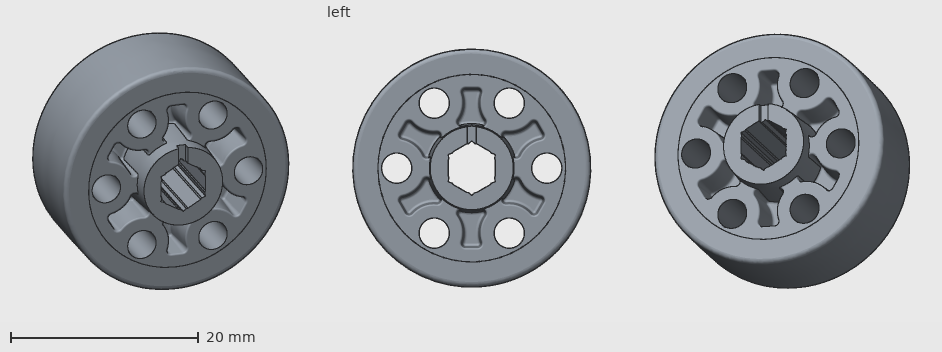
import cadquery as cq
import math

hub_length = 15.0
wheel_width = 11.1
crown_radius = 12.7
crown_drop = 0.03
tyre_edge_fillet = 0.5
tyre_bore_radius = 10.0

draft = 3.0
boss_base_radius = 4.53
spoke_count = 6
hole_circle_radius = 8.0
hole_diameter = 3.2

web_thickness = 2.0
pocket_outer_height = 8.55
pocket_side_radius = 3.05
pocket_corner_radius = 0.5
pocket_edge_fillet = 0.2
pocket_floor_fillet = 0.3
boss_overlap = 0.03

hex_across_flats = 5.0
corner_angle = 100.0
rib_flank_length = 0.45
rib_back_length = 0.18

slot_floor_width = 0.95
slot_depth = 0.75

half_length = hub_length / 2
half_width = wheel_width / 2
draft_slope = math.tan(math.radians(draft))
boss_tip_radius = boss_base_radius - draft_slope * (half_length - half_width)
pocket_depth = (wheel_width - web_thickness) / 2
spoke_pitch = 360.0 / spoke_count


def polar(radius, degrees, center=(0.0, 0.0)):
    """Point at a radius and an angle from the second axis (Z) towards the first (Y)."""
    angle = math.radians(degrees)
    return (center[0] + radius * math.sin(angle), center[1] + radius * math.cos(angle))


def toward(center, target, distance):
    """Point at a distance from center in the direction of target."""
    span = math.dist(center, target)
    return tuple(c + (t - c) * distance / span for c, t in zip(center, target))


def mirrored(point):
    """The point's mirror image across the Z axis."""
    return (-point[0], point[1])


def make_tyre():
    """Crowned ring with rounded outer edges."""
    side_radius = crown_radius - crown_drop
    quarter_radius = crown_radius - crown_drop / 4
    profile = (
        cq.Workplane("XZ")
        .moveTo(-half_width, tyre_bore_radius)
        .lineTo(-half_width, side_radius)
        .threePointArc((-half_width / 2, quarter_radius), (0, crown_radius))
        .threePointArc((half_width / 2, quarter_radius), (half_width, side_radius))
        .lineTo(half_width, tyre_bore_radius)
        .close()
    )
    tyre = profile.revolve(360, (0, 0, 0), (1, 0, 0))
    rims = cq.selectors.RadiusNthSelector(1)
    return tyre.faces("<X or >X").edges(rims).fillet(tyre_edge_fillet)


def pocket_outline(plane):
    """Closed outline of the pocket on the +Z side, at the hub's side face."""
    hole = polar(hole_circle_radius, spoke_pitch / 2)
    corner = pocket_corner_radius
    hole_to_corner = pocket_side_radius + corner

    outer_z = pocket_outer_height - corner
    outer_y = hole[0] - math.sqrt(hole_to_corner**2 - (outer_z - hole[1]) ** 2)
    outer_center = (outer_y, outer_z)

    inner_radius = boss_base_radius - boss_overlap
    axis_to_corner = inner_radius + corner
    squares = axis_to_corner**2 + hole_circle_radius**2 - hole_to_corner**2
    turn = math.degrees(math.acos(squares / (2 * axis_to_corner * hole_circle_radius)))
    inner_center = polar(axis_to_corner, spoke_pitch / 2 - turn)

    outer_top = (outer_y, pocket_outer_height)
    outer_side = toward(outer_center, hole, corner)
    outer_mid = polar(corner, 45, outer_center)
    inner_side = toward(inner_center, hole, corner)
    inner_boss = toward(inner_center, (0, 0), corner)
    inner_mid = polar(corner, spoke_pitch / 2 + 90, inner_center)
    side_chord = math.dist(outer_side, inner_side)
    chord_mid = toward(outer_side, inner_side, side_chord / 2)
    side_mid = toward(hole, chord_mid, pocket_side_radius)
    return (
        plane.moveTo(*mirrored(outer_top))
        .lineTo(*outer_top)
        .threePointArc(outer_mid, outer_side)
        .threePointArc(side_mid, inner_side)
        .threePointArc(inner_mid, inner_boss)
        .threePointArc((0, inner_radius), mirrored(inner_boss))
        .threePointArc(mirrored(inner_mid), mirrored(inner_side))
        .threePointArc(mirrored(side_mid), mirrored(outer_side))
        .threePointArc(mirrored(outer_mid), mirrored(outer_top))
        .close()
    )


def make_pocket():
    """Cutter for the pocket on the +Z side, sunk from the +X side face."""
    outline = pocket_outline(cq.Workplane("YZ", origin=(half_width, 0, 0)))
    pocket = outline.extrude(-pocket_depth, taper=draft)
    return pocket.faces("<X").edges().fillet(pocket_floor_fillet)


def both_sides(body):
    """The body and its mirror image on the wheel's other side."""
    return [body, body.mirror("YZ")]


def make_core():
    """Both tapered bosses, widening down to the web that they are rooted in."""
    root_radius = boss_base_radius + draft_slope * half_width
    return (
        cq.Workplane("XZ")
        .moveTo(-half_length, 0)
        .lineTo(-half_length, boss_tip_radius)
        .lineTo(0, root_radius)
        .lineTo(half_length, boss_tip_radius)
        .lineTo(half_length, 0)
        .close()
        .revolve(360, (0, 0, 0), (1, 0, 0))
    )


def make_bore():
    """Cutter for the hexagonal bore, with the two ribs beside each corner left standing."""
    hex_sides = 6
    hex_pitch = 360 / hex_sides
    flat_angle = 90 - hex_pitch / 2
    groove_angle = corner_angle / 2
    corner_distance = hex_across_flats / 2 / math.cos(math.radians(hex_pitch / 2))
    crest_along_flat = rib_flank_length * math.cos(math.radians(flat_angle - groove_angle))
    rib_end_distance = crest_along_flat + rib_back_length

    points = []
    for i in range(hex_sides):
        angle = hex_pitch * i
        inward = angle + 180
        corner = polar(corner_distance, angle)
        points += [
            polar(rib_end_distance, inward + flat_angle, corner),
            polar(rib_flank_length, inward + groove_angle, corner),
            corner,
            polar(rib_flank_length, inward - groove_angle, corner),
            polar(rib_end_distance, inward - flat_angle, corner),
        ]
    bore_start = cq.Workplane("YZ", origin=(-half_length, 0, 0))
    return bore_start.polyline(points).close().extrude(hub_length)


def make_slot():
    """Cutter for the slot in the +X boss, from the bore out through the boss's +Z wall."""
    floor_x = half_length - slot_depth
    floor_half = slot_floor_width / 2
    mouth_half = floor_half + draft_slope * slot_depth
    return (
        cq.Workplane("XY")
        .polyline([
            (floor_x, -floor_half),
            (half_length, -mouth_half),
            (half_length, mouth_half),
            (floor_x, floor_half),
        ])
        .close()
        .extrude(boss_base_radius)
    )


def make_holes():
    """Cutters for the through holes between the pockets."""
    return (
        cq.Workplane("YZ", origin=(-half_width, 0, 0))
        .polarArray(hole_circle_radius, 0, 360, spoke_count)
        .circle(hole_diameter / 2)
        .extrude(wheel_width)
    )


def make_hub():
    """Pocketed disc with a tapered boss on each side."""
    hub = cq.Workplane("YZ", origin=(-half_width, 0, 0)).circle(tyre_bore_radius).extrude(wheel_width)
    for pocket in both_sides(make_pocket()):
        for i in range(spoke_count):
            hub = hub.cut(pocket.rotate((0, 0, 0), (1, 0, 0), i * spoke_pitch))

    rims = cq.selectors.RadiusNthSelector(-1)
    pocket_mouths = hub.faces("<X or >X").edges(cq.selectors.InverseSelector(rims))
    hub = pocket_mouths.fillet(pocket_edge_fillet)

    hub = hub.union(make_core())
    for slot in both_sides(make_slot()):
        hub = hub.cut(slot)
    return hub.cut(make_holes()).cut(make_bore())


tyre = make_tyre()
hub = make_hub()
result = cq.Compound.makeCompound([hub.val(), tyre.val()])